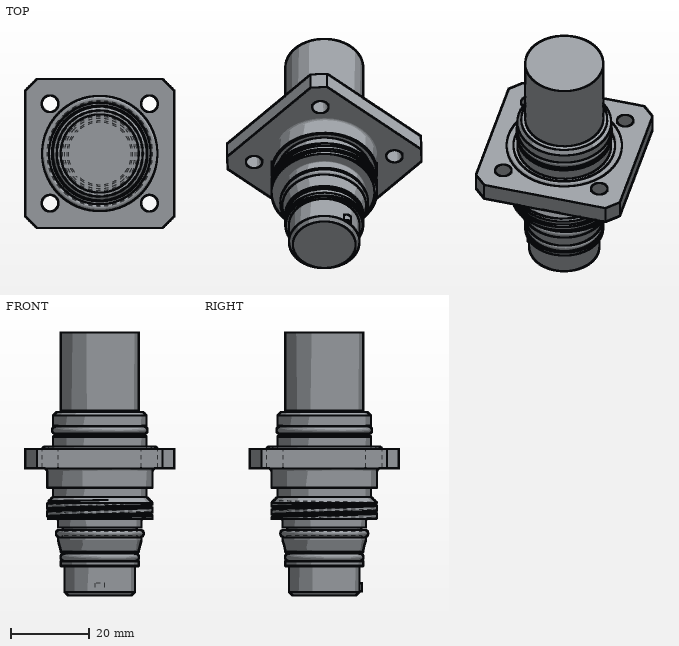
import cadquery as cq
import math

total_height = 67.32

spigot_d = 18.05
spigot_top = 7.5
spigot_chamfer = 1.0

lower_band_d = 20.0
lower_groove_d = 18.0
lower_groove_bottom = 8.75
lower_groove_top = 11.1
cone_bottom = 11.6
cone_top = 14.2

middle_band_d = 21.4
middle_groove_d = 19.0
middle_groove_bottom = 14.9
middle_groove_top = 17.4

thread_bottom = 19.65
thread_top = 25.25
thread_d = 27.0
thread_relief_d = 24.0
thread_relief_top = 27.5
thread_pitch = 2.0
thread_groove_depth = 0.7
thread_groove_width = 0.85
thread_start = 18.9
thread_fillet = 0.3

body_d = 27.0
flange_bottom = 32.55
flange_thickness = 5.0
flange_side = 38.1
flange_corner = 3.0
flange_fillet = 0.8
flange_top = flange_bottom + flange_thickness
hole_spacing = 25.4
hole_d = 4.2

upper_d = 24.0
upper_groove_d = 21.6
upper_groove_bottom = 40.8
upper_groove_top = 43.4
upper_end = 47.0
upper_chamfer = 1.0

edge_break = 0.2

ring_section_d = 1.9
upper_ring_d = 24.5
upper_ring_z = 42.3
middle_ring_d = 22.5
middle_ring_z = 15.9
lower_ring_d = 20.15
lower_ring_z = 9.8
flange_ring_d = 29.5
flange_ring_rise = 0.6

key_d = 2.7
key_bottom = 1.1
key_height = 2.1
key_reach = 9.65

cable_d = 20.0
cable_length = 20.0
cable_neck_d = 16.8


def turned_housing():
    """Revolve the stepped half-section of the housing about Z."""
    spigot_r = spigot_d / 2
    lower_r = lower_band_d / 2
    middle_r = middle_band_d / 2
    relief_r = thread_relief_d / 2
    body_r = body_d / 2
    upper_r = upper_d / 2
    section = (
        cq.Workplane("XZ")
        .lineTo(spigot_r - spigot_chamfer, 0)
        .lineTo(spigot_r, spigot_chamfer)
        .lineTo(spigot_r, spigot_top)
        .lineTo(lower_r - edge_break, spigot_top)
        .lineTo(lower_r, spigot_top + edge_break)
        .lineTo(lower_r, lower_groove_bottom)
        .lineTo(lower_groove_d / 2, lower_groove_bottom)
        .lineTo(lower_groove_d / 2, lower_groove_top)
        .lineTo(lower_r - edge_break, lower_groove_top)
        .lineTo(lower_r, lower_groove_top + edge_break)
        .lineTo(lower_r, cone_bottom)
        .lineTo(middle_r, cone_top)
        .lineTo(middle_r, middle_groove_bottom)
        .lineTo(middle_groove_d / 2, middle_groove_bottom)
        .lineTo(middle_groove_d / 2, middle_groove_top)
        .lineTo(middle_r, middle_groove_top)
        .lineTo(middle_r, thread_bottom - thread_fillet)
        .radiusArc((middle_r + thread_fillet, thread_bottom), thread_fillet)
        .lineTo(relief_r, thread_bottom)
        .lineTo(relief_r, thread_relief_top)
        .lineTo(body_r - edge_break, thread_relief_top)
        .lineTo(body_r, thread_relief_top + edge_break)
        .lineTo(body_r, flange_bottom - flange_fillet)
        .radiusArc((body_r + flange_fillet, flange_bottom), flange_fillet)
        .lineTo(body_r + flange_fillet, flange_top)
        .lineTo(upper_r, flange_top)
        .lineTo(upper_r, upper_groove_bottom - edge_break)
        .lineTo(upper_r - edge_break, upper_groove_bottom)
        .lineTo(upper_groove_d / 2, upper_groove_bottom)
        .lineTo(upper_groove_d / 2, upper_groove_top)
        .lineTo(upper_r, upper_groove_top)
        .lineTo(upper_r, upper_end - upper_chamfer)
        .lineTo(upper_r - upper_chamfer, upper_end)
        .lineTo(0, upper_end)
        .close()
    )
    return section.revolve(360, (0, 0, 0), (0, 1, 0))


def flange():
    """Square plate with bevelled corners and four mounting holes."""
    return (
        cq.Workplane("XY", origin=(0, 0, flange_bottom))
        .rect(flange_side, flange_side)
        .extrude(flange_thickness)
        .edges("|Z")
        .chamfer(flange_corner)
        .faces(">Z")
        .workplane()
        .rect(hole_spacing, hole_spacing, forConstruction=True)
        .vertices()
        .hole(hole_d)
    )


def o_ring(outer_d, center_z):
    """Torus of round section about Z."""
    center_r = (outer_d - ring_section_d) / 2
    return (
        cq.Workplane("XZ")
        .center(center_r, center_z)
        .circle(ring_section_d / 2)
        .revolve(360, (-center_r, 0, 0), (-center_r, 1, 0))
    )


def flange_ring():
    """Face seal sunk in the flange; its outer diameter is taken at the flange surface."""
    section_r = ring_section_d / 2
    center_depth = section_r - flange_ring_rise
    half_chord = math.sqrt(section_r ** 2 - center_depth ** 2)
    full_d = flange_ring_d + 2 * (section_r - half_chord)
    return o_ring(full_d, flange_top - center_depth)


def thread_groove():
    """Right-hand V groove that runs out at both ends of the thread."""
    overshoot = 0.3
    thread_r = thread_d / 2
    root_r = thread_r - thread_groove_depth
    outer_r = thread_r + overshoot
    half_width = thread_groove_width / 2 * (thread_groove_depth + overshoot) / thread_groove_depth
    helix_height = thread_top - thread_start
    helix = cq.Wire.makeHelix(thread_pitch, helix_height, root_r).translate(cq.Vector(0, 0, thread_start))
    return (
        cq.Workplane("XZ")
        .moveTo(root_r, thread_start)
        .lineTo(outer_r, thread_start + half_width)
        .lineTo(outer_r, thread_start - half_width)
        .close()
        .sweep(cq.Workplane(obj=helix), isFrenet=True)
    )


def thread():
    """Threaded disc with a 45 degree bevel down to the relief diameter at its top."""
    relief_r = thread_relief_d / 2
    thread_length = thread_top - thread_bottom
    grooved = (
        cq.Workplane("XY", origin=(0, 0, thread_bottom))
        .circle(thread_d / 2)
        .extrude(thread_length)
        .cut(thread_groove())
    )
    clearance = 1.0
    bottom_z = thread_bottom - clearance
    top_z = thread_top + clearance
    bevel_cone = (
        cq.Workplane("XZ")
        .moveTo(0, bottom_z)
        .lineTo(relief_r + thread_length + clearance, bottom_z)
        .lineTo(relief_r - clearance, top_z)
        .lineTo(0, top_z)
        .close()
        .revolve(360, (0, 0, 0), (0, 1, 0))
    )
    return grooved.intersect(bevel_cone)


def locating_key():
    """Round key standing out of the spigot, parallel to Z."""
    return (
        cq.Workplane("XY", origin=(0, key_reach - key_d / 2, key_bottom))
        .circle(key_d / 2)
        .extrude(key_height)
    )


def make_housing():
    housing = turned_housing().union(thread()).union(flange()).union(flange_ring())
    ring_places = [
        (upper_ring_d, upper_ring_z),
        (middle_ring_d, middle_ring_z),
        (lower_ring_d, lower_ring_z),
    ]
    for outer_d, center_z in ring_places:
        housing = housing.union(o_ring(outer_d, center_z))
    return housing.union(locating_key()).solids().val()


def make_cable():
    """Cable stub whose reduced neck stands on the upper end of the housing."""
    neck_length = total_height - cable_length - upper_end
    return (
        cq.Workplane("XY", origin=(0, 0, upper_end))
        .circle(cable_neck_d / 2)
        .extrude(neck_length)
        .faces(">Z")
        .workplane()
        .circle(cable_d / 2)
        .extrude(cable_length)
        .solids()
        .val()
    )


housing = make_housing()
cable = make_cable()

result = cq.Compound.makeCompound([housing, cable])